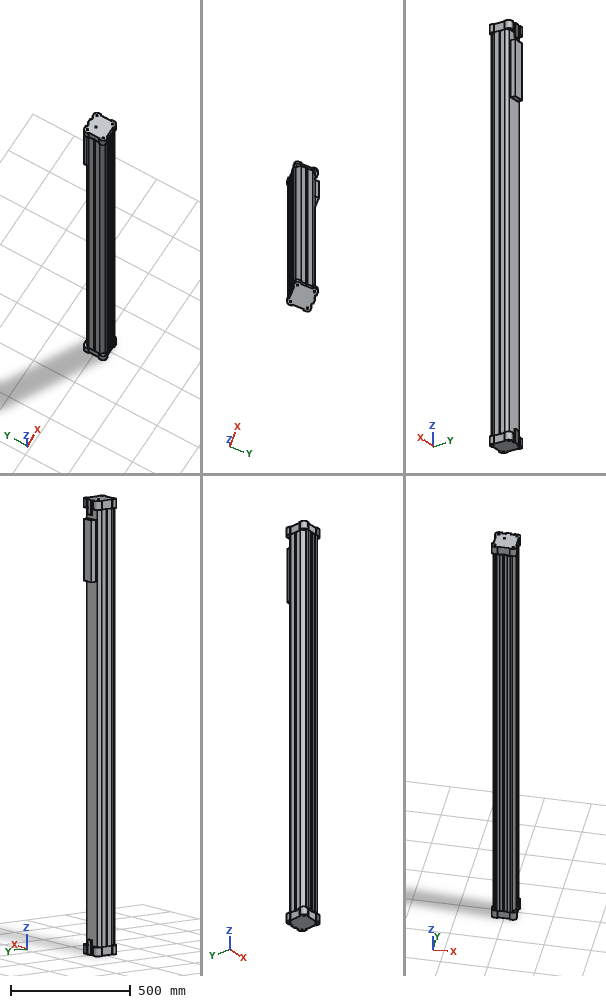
import cadquery as cq

TOTAL_HEIGHT = 1930.0
CAP_HEIGHT = 37.6
AXIS_Y = -4.8
PROFILE_HEIGHT = TOTAL_HEIGHT - 2 * CAP_HEIGHT
TOP_CAP_BASE = TOTAL_HEIGHT / 2 - CAP_HEIGHT

CAP_HALF = 53.0
CORNER_RADIUS = 14.5
RECESS_HALF = 48.0
FLAT_HALF = 26.0
SCREW_DIAMETER = 6.5
SCREW_OFFSET = 39.0
TAB_WIDTH = 21.0
TAB_THICKNESS = 5.0
TAB_HEIGHT = 64.0
PORT_DIAMETER = 6.0
PORT_X = -10.0
PORT_Y = 10.0

SIDE_HALF = 48.0
SHOULDER_X = 42.0
BACK_SHOULDER_Y = 37.0
FRONT_SHOULDER_Y = 37.6
BACK_HALF = 37.6
BACK_DEPTH = 41.5
FACET_X = 35.7
REAR_FACET_Y = 45.4
FRONT_FACET_Y = 48.0
FRONT_HALF = 29.0
FRONT_DEPTH = 55.0
CHANNEL_HALF = 15.0
CHANNEL_DEPTH = 2.0
SLOT_WIDTH = 6.0
SLOT_DEPTH = 5.0

BOX_HALF = 26.0
BOX_BACK_Y = 58.9
BOX_BOTTOM = 620.0
BOX_TOP = 882.0


def block(x_range, y_range, z_range):
    """Box between the given limits on each axis."""
    size = [high - low for low, high in (x_range, y_range, z_range)]
    corner = (x_range[0], y_range[0], z_range[0])
    return cq.Workplane("XY").box(*size, centered=False).translate(corner)


def cap_plate():
    """Square plate with rounded corner lobes and square-stepped recessed sides, standing on z = 0."""
    bar = (
        cq.Workplane("XY")
        .rect(2 * CAP_HALF, 2 * CAP_HALF)
        .extrude(CAP_HEIGHT)
        .edges("|Z")
        .fillet(CORNER_RADIUS)
    )
    recess = block((-FLAT_HALF, FLAT_HALF), (RECESS_HALF, CAP_HALF), (0, CAP_HEIGHT))
    for quarter in range(4):
        bar = bar.cut(recess.rotate((0, 0, 0), (0, 0, 1), 90 * quarter))
    return bar


def end_cap():
    """Cap for the top end, in place: plate, rear tab and four screw holes."""
    cap = cap_plate().translate((0, AXIS_Y, TOP_CAP_BASE))
    cap_top = TOTAL_HEIGHT / 2
    back = AXIS_Y + RECESS_HALF
    tab = block(
        (-TAB_WIDTH / 2, TAB_WIDTH / 2),
        (back, back + TAB_THICKNESS),
        (cap_top - TAB_HEIGHT, cap_top),
    )
    screws = (
        cq.Workplane("XY", origin=(0, AXIS_Y, TOP_CAP_BASE))
        .rect(2 * SCREW_OFFSET, 2 * SCREW_OFFSET, forConstruction=True)
        .vertices()
        .circle(SCREW_DIAMETER / 2)
        .extrude(CAP_HEIGHT)
    )
    return cap.union(tab, clean=False).cut(screws)


def top_cap():
    """Upper cap, which also has the small port hole."""
    port = (
        cq.Workplane("XY", origin=(PORT_X, PORT_Y, TOP_CAP_BASE))
        .circle(PORT_DIAMETER / 2)
        .extrude(CAP_HEIGHT)
    )
    return end_cap().cut(port)


def bottom_cap():
    """Lower cap, the mirror image of the upper one without its port hole."""
    return end_cap().mirror("XY")


def profile_bar():
    """Extruded bar with channelled front, sloped sides and three long slots."""
    channel_floor = FRONT_DEPTH - CHANNEL_DEPTH
    right_side = [
        (BACK_HALF, BACK_DEPTH),
        (SHOULDER_X, BACK_SHOULDER_Y),
        (SIDE_HALF, FLAT_HALF),
        (SIDE_HALF, -FLAT_HALF),
        (SHOULDER_X, -FRONT_SHOULDER_Y),
        (FACET_X, -REAR_FACET_Y),
        (FACET_X, -FRONT_FACET_Y),
        (FRONT_HALF, -FRONT_DEPTH),
        (CHANNEL_HALF, -FRONT_DEPTH),
        (CHANNEL_HALF, -channel_floor),
    ]
    left_side = [(-x, y) for x, y in reversed(right_side)]
    bar = (
        cq.Workplane("XY")
        .polyline(right_side + left_side)
        .close()
        .extrude(PROFILE_HEIGHT / 2, both=True)
    )
    slot_centers = [(-SIDE_HALF, 0), (SIDE_HALF, 0), (0, -channel_floor)]
    for x, y in slot_centers:
        across = 2 * SLOT_DEPTH
        size = (across, SLOT_WIDTH) if x else (SLOT_WIDTH, across)
        bar = bar.cut(cq.Workplane("XY").box(*size, PROFILE_HEIGHT).translate((x, y, 0)))
    return bar.translate((0, AXIS_Y, 0))


def profile():
    """Bar with the box carried on its back near the upper end."""
    box = block(
        (-BOX_HALF, BOX_HALF),
        (AXIS_Y + BACK_DEPTH, BOX_BACK_Y),
        (BOX_BOTTOM, BOX_TOP),
    )
    return profile_bar().union(box)


result = cq.Compound.makeCompound([
    profile().val(),
    top_cap().val(),
    bottom_cap().val(),
])